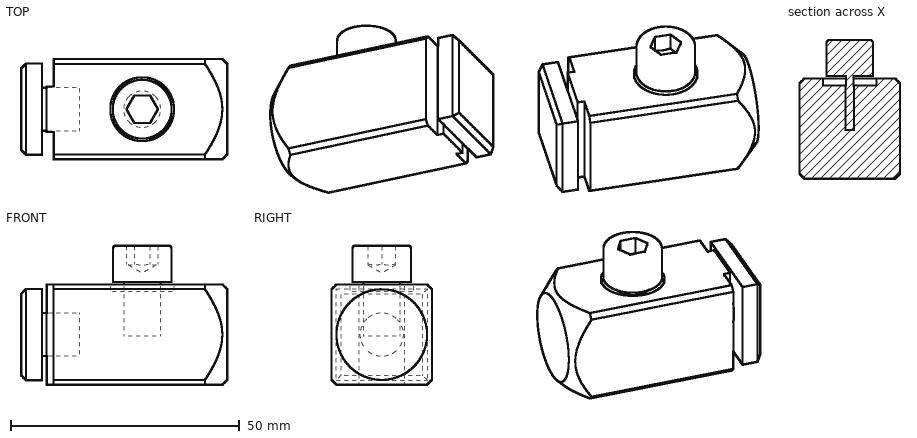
import cadquery as cq
import math

total_length = 45.1

housing_width = 22.0
housing_start = 7.1
edge_bevel = 1.1
tongue_start = 5.6
tongue_width = 10.0
end_face_radius = 9.9

pad_width = 20.02
pad_thickness = 4.55
pad_bevel = 1.1
stem_diameter = 9.45
stem_depth = 7.2

screw_x = 26.47
head_diameter = 12.9
head_height = 8.0
head_gap = 0.5
head_fillet = 0.7
shank_diameter = 8.05
shank_depth = 11.28
hex_across_flats = 6.0
hex_depth = 4.0
hex_point_angle = 120.0

recess_diameter = 14.0
recess_depth = 1.6

housing_top = housing_width / 2
head_bottom = housing_top + head_gap
stem_end = tongue_start + stem_depth


def x_cylinder(diameter, start, end):
    """Cylinder on the clamp axis between two X positions."""
    return cq.Workplane("YZ").workplane(offset=start).circle(diameter / 2).extrude(end - start)


def z_cylinder(diameter, bottom, top):
    """Cylinder on the screw axis between two heights."""
    disc = cq.Workplane("XY", origin=(screw_x, 0, bottom)).circle(diameter / 2)
    return disc.extrude(top - bottom)


def x_square_bar(width, start, end):
    """Square bar on the clamp axis between two X positions."""
    return cq.Workplane("YZ").workplane(offset=start).rect(width, width).extrude(end - start)


def make_turned_envelope():
    """Revolved blank whose 45 degree cone trims the far end of the housing."""
    corner_radius = housing_width / math.sqrt(2)
    cone_start = total_length - (corner_radius - end_face_radius)
    return (
        cq.Workplane("XY")
        .moveTo(tongue_start, 0)
        .lineTo(tongue_start, corner_radius)
        .lineTo(cone_start, corner_radius)
        .lineTo(total_length, end_face_radius)
        .lineTo(total_length, 0)
        .close()
        .revolve(360, (0, 0, 0), (1, 0, 0))
    )


def make_housing():
    bar = x_square_bar(housing_width, housing_start, total_length).edges("|X").chamfer(edge_bevel)
    tongue = (
        cq.Workplane("YZ")
        .workplane(offset=tongue_start)
        .rect(tongue_width, housing_width)
        .extrude(housing_start - tongue_start)
    )
    body = bar.union(tongue).intersect(make_turned_envelope())
    recess = z_cylinder(recess_diameter, housing_top - recess_depth, housing_top)
    screw_hole = z_cylinder(shank_diameter, housing_top - shank_depth, housing_top)
    stem_hole = x_cylinder(stem_diameter, tongue_start, stem_end)
    return body.cut(recess).cut(screw_hole).cut(stem_hole)


def make_pad():
    plate = x_square_bar(pad_width, 0, pad_thickness).faces("<X").chamfer(pad_bevel)
    return plate.union(x_cylinder(stem_diameter, pad_thickness, stem_end))


def make_hex_socket(head_top):
    """Hexagonal socket with a drilled conical bottom."""
    across_corners = hex_across_flats / math.cos(math.pi / 6)
    socket_floor = head_top - hex_depth
    hexagon = (
        cq.Workplane("XY", origin=(screw_x, 0, socket_floor))
        .polygon(6, across_corners)
        .extrude(hex_depth)
    )
    cone_radius = across_corners / 2
    cone_depth = cone_radius / math.tan(math.radians(hex_point_angle / 2))
    cone = cq.Solid.makeCone(
        cone_radius, 0, cone_depth, pnt=cq.Vector(screw_x, 0, socket_floor), dir=cq.Vector(0, 0, -1)
    )
    hex_column = hexagon.translate((0, 0, -hex_depth))
    return hexagon.union(hex_column.intersect(cq.Workplane(cone)))


def make_screw():
    head_top = head_bottom + head_height
    head = z_cylinder(head_diameter, head_bottom, head_top).faces(">Z").edges().fillet(head_fillet)
    shank = z_cylinder(shank_diameter, housing_top - shank_depth, head_bottom)
    return head.union(shank).cut(make_hex_socket(head_top))


housing = make_housing()
pad = make_pad()
screw = make_screw()

result = cq.Compound.makeCompound([housing.val(), pad.val(), screw.val()])